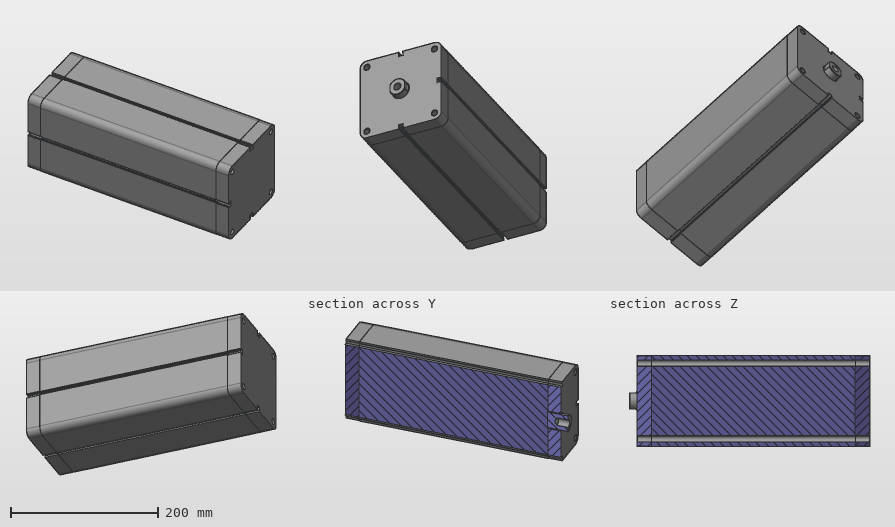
import cadquery as cq
import math

total_length = 327.0
tube_width = 124.0
cap_width = 123.5
corner_radius = 10.0
rod_protrusion = 10.0
cap_length = 20.0

front_face = rod_protrusion
tube_start = front_face + cap_length
tube_end = total_length - cap_length
tube_length = tube_end - tube_start

slot_width = 7.0
slot_depth = 7.0
tube_mouth_width = 5.0
cap_mouth_width = 6.2
slot_lip_depth = 3.0
slot_angles = (0, 90, 180)

bolt_inset = 10.5
bolt_spacing = tube_width - 2 * bolt_inset
bolt_diameter = 8.2
bolt_chamfer = 0.5

rod_diameter = 25.2
rod_across_flats = 22.0
rod_collar_length = 1.0
rod_chamfer = 0.5
flat_fillet = 1.0
rod_bore_diameter = 26.5
rod_hole_diameter = 10.8
rod_hole_depth = 16.5
drill_point_angle = 118


def square_bar(start, length, width):
    """Square bar along X with rounded long edges and four corner bolt holes."""
    bar = (
        cq.Workplane("YZ", origin=(start, 0, 0))
        .rect(width, width)
        .extrude(length)
        .edges("|X")
        .fillet(corner_radius)
    )
    holes = (
        cq.Workplane("YZ", origin=(start, 0, 0))
        .rect(bolt_spacing, bolt_spacing, forConstruction=True)
        .vertices()
        .circle(bolt_diameter / 2)
        .extrude(length)
    )
    return bar.cut(holes)


def groove(start, length, width, top_depth, bottom_depth):
    """Rectangular bar lying between two depths below the +Z side."""
    side = tube_width / 2
    height = bottom_depth - top_depth
    middle = side - (top_depth + bottom_depth) / 2
    return cq.Workplane("XY").box(length, width, height).translate((start + length / 2, 0, middle))


def cut_slots(body, start, length, mouth_width):
    """Cut T-shaped slots along the +Z, -Z and -Y sides."""
    mouth = groove(start, length, mouth_width, 0, slot_lip_depth)
    channel = groove(start, length, slot_width, slot_lip_depth, slot_depth)
    slot = mouth.union(channel)
    for angle in slot_angles:
        body = body.cut(slot.rotate((0, 0, 0), (1, 0, 0), angle))
    return body


def make_cap(start):
    """End cap."""
    return cut_slots(square_bar(start, cap_length, cap_width), start, cap_length, cap_mouth_width)


def make_front_cap():
    """End cap with countersunk bolt holes and a clearance bore for the rod."""
    cap = make_cap(front_face)
    for y in (-bolt_spacing / 2, bolt_spacing / 2):
        for z in (-bolt_spacing / 2, bolt_spacing / 2):
            countersink = cq.Solid.makeCone(
                bolt_diameter / 2 + bolt_chamfer,
                bolt_diameter / 2,
                bolt_chamfer,
                cq.Vector(front_face, y, z),
                cq.Vector(1, 0, 0),
            )
            cap = cap.cut(cq.Workplane(obj=countersink))
    bore = cq.Workplane("YZ").circle(rod_bore_diameter / 2).extrude(tube_start)
    return cap.cut(bore)


def make_tube():
    """Cylinder tube."""
    return cut_slots(square_bar(tube_start, tube_length, tube_width), tube_start, tube_length, tube_mouth_width)


def make_rod():
    """Rod end with two wrench flats and a drilled hole in its tip."""
    rod = cq.Workplane("YZ").circle(rod_diameter / 2).extrude(tube_start).faces("<X").chamfer(rod_chamfer)
    flat_length = rod_protrusion - rod_collar_length
    flat_depth = (rod_diameter - rod_across_flats) / 2
    flat_cutter = (
        cq.Workplane("XY")
        .box(flat_length, flat_depth, rod_diameter)
        .edges(">X and <Y")
        .fillet(flat_fillet)
        .translate((flat_length / 2, (rod_across_flats + flat_depth) / 2, 0))
    )
    rod = rod.cut(flat_cutter).cut(flat_cutter.mirror("XZ"))

    hole_radius = rod_hole_diameter / 2
    point_length = hole_radius / math.tan(math.radians(drill_point_angle / 2))
    drill = (
        cq.Workplane("XY")
        .moveTo(0, 0)
        .lineTo(0, hole_radius)
        .lineTo(rod_hole_depth, hole_radius)
        .lineTo(rod_hole_depth + point_length, 0)
        .close()
        .revolve(360, (0, 0, 0), (1, 0, 0))
    )
    return rod.cut(drill)


front_cap = make_front_cap()
tube = make_tube()
rear_cap = make_cap(tube_end)
piston_rod = make_rod()

result = cq.Compound.makeCompound([front_cap.val(), tube.val(), rear_cap.val(), piston_rod.val()])